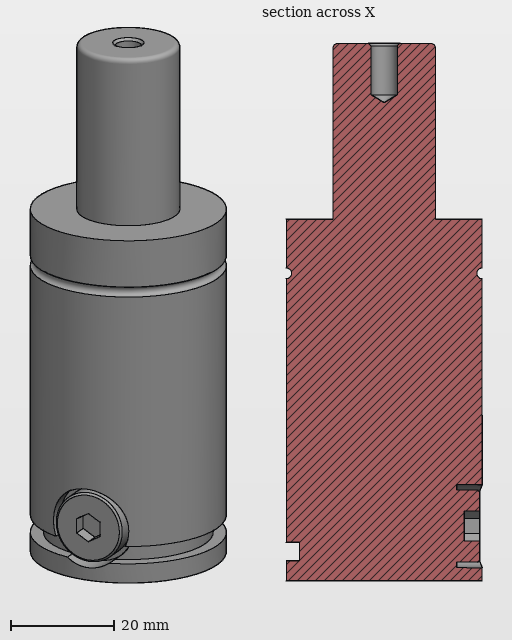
import cadquery as cq
import math

total_height = 104.0
body_radius = 38.0 / 2
body_height = 70.0
rod_radius = 20.0 / 2
rod_edge_fillet = 1.0

base_groove_bottom = 4.0
base_groove_top = 7.5
base_groove_radius = 16.4

cap_groove_center = 59.5
cap_groove_size = 1.0

rod_hole_diameter = 5.0
rod_hole_depth = 10.0
rod_hole_chamfer = 0.5
drill_tip_angle = 118.0

plug_height = 10.6
pocket_radius = 16.0 / 2
pocket_floor = 14.0
plug_radius = 14.0 / 2
plug_face = 18.5
plug_chamfer = 0.4
hex_across_flats = 5.0
hex_depth = 3.0


def make_body():
    """Revolve the half profile of the cylinder, its grooves and the rod."""
    return (
        cq.Workplane("XZ")
        .lineTo(body_radius, 0)
        .lineTo(body_radius, base_groove_bottom)
        .lineTo(base_groove_radius, base_groove_bottom)
        .lineTo(base_groove_radius, base_groove_top)
        .lineTo(body_radius, base_groove_top)
        .lineTo(body_radius, cap_groove_center - cap_groove_size)
        .threePointArc(
            (body_radius - cap_groove_size, cap_groove_center),
            (body_radius, cap_groove_center + cap_groove_size),
        )
        .lineTo(body_radius, body_height)
        .lineTo(rod_radius, body_height)
        .lineTo(rod_radius, total_height - rod_edge_fillet)
        .tangentArcPoint((rod_radius - rod_edge_fillet, total_height), relative=False)
        .lineTo(0, total_height)
        .close()
        .revolve(360, (0, 0), (0, 1))
    )


def make_rod_hole():
    """Blind drilled hole with a chamfered mouth and a conical bottom."""
    radius = rod_hole_diameter / 2
    floor = total_height - rod_hole_depth
    tip = floor - radius / math.tan(math.radians(drill_tip_angle / 2))
    return (
        cq.Workplane("XZ")
        .moveTo(0, tip)
        .lineTo(radius, floor)
        .lineTo(radius, total_height - rod_hole_chamfer)
        .lineTo(radius + rod_hole_chamfer, total_height)
        .lineTo(0, total_height)
        .close()
        .revolve(360, (0, 0), (0, 1))
    )


def plug_plane(distance):
    """Plane centred on the plug axis, facing -Y at a distance from the body axis."""
    return cq.Workplane("XZ", origin=(0, -distance, plug_height))


def make_pocket():
    return plug_plane(pocket_floor).circle(pocket_radius).extrude(body_radius - pocket_floor)


def make_plug():
    """Chamfered round plug with a hexagon socket, corners up and down."""
    plug = (
        plug_plane(pocket_floor)
        .circle(plug_radius)
        .extrude(plug_face - pocket_floor)
        .faces("<Y")
        .chamfer(plug_chamfer)
    )
    hex_corner_diameter = hex_across_flats / math.cos(math.pi / 6)
    socket = (
        plug_plane(plug_face - hex_depth)
        .transformed(rotate=(0, 0, 90))
        .polygon(6, hex_corner_diameter)
        .extrude(hex_depth)
    )
    return plug.cut(socket)


result = make_body().cut(make_rod_hole()).cut(make_pocket()).union(make_plug())